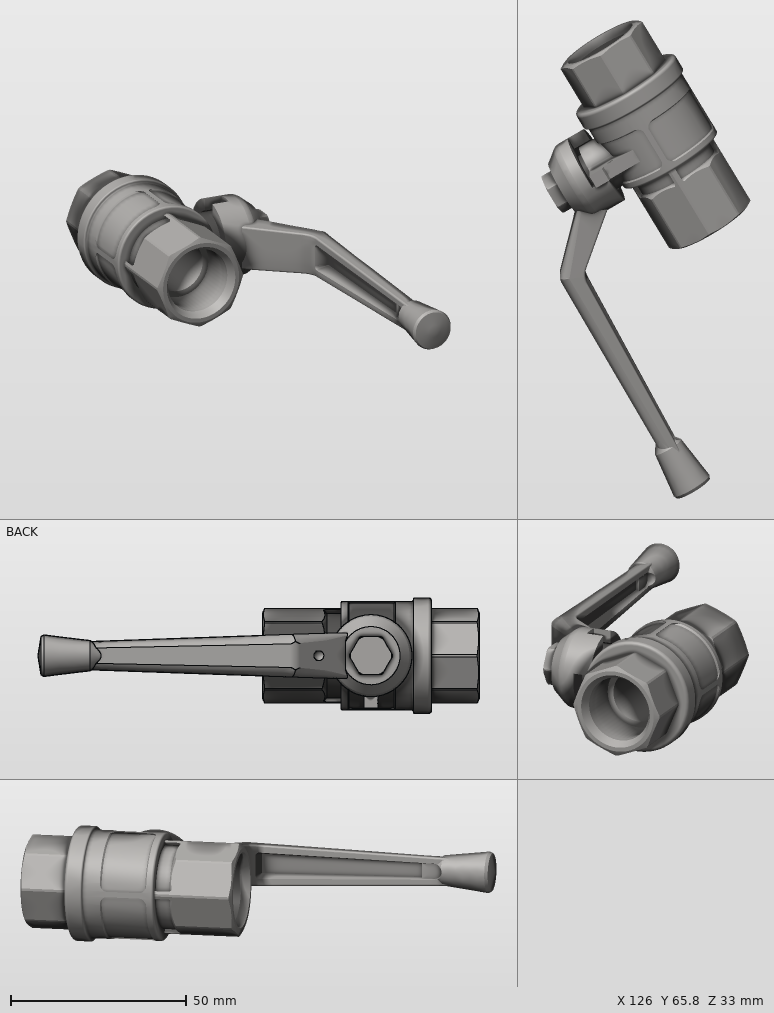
import cadquery as cq
import math


BODY_HALF_LENGTH = 31.0
OCTAGON_APOTHEM = 12.6
OCTAGON_CORNER_RADIUS = 13.5
OCTAGON_END_CHAMFER = 0.7
OCTAGON_FACE_RADIUS = 12.0
FLANGE_START = -17.3
FLANGE_END = -12.1
FLANGE_RADIUS = 16.5
FLANGE_FILLET = 1.0
FLANGE_FOOT_FILLET = 0.45
DRUM_RADIUS = 15.5
DRUM_END = 8.6
DRUM_FILLET = 0.6

QUARTERS = 4
PANEL_START = -7.0
PANEL_END = 6.6
PANEL_DEPTH = 0.5
PANEL_RIB = 1.6
PANEL_CORNER = 2.0
PANEL_WALL_RUN = 0.4
POCKET_END = 13.9
POCKET_FLOOR_RADIUS = 12.0
POCKET_RIB = 2.8
POCKET_CORNER = 1.5
POCKET_WALL_RUN = 1.3

PORT_RADIUS = 7.6
THREAD_RADIUS = 9.4
THREAD_DEPTH = 15.0
MOUTH_RADIUS = 10.8
MOUTH_DEPTH = 2.4

STEM_RADIUS = 7.85
STEM_TOP = 20.8
NECK_RADIUS = 5.8
STOP_THICKNESS = 4.0
STOP_BLEND = 1.2
STOP_HEAD_Z = -14.9
STOP_HEAD_BOTTOM = 16.6
STOP_FOOT_Z = -13.6
STOP_STEP = 0.5
STOP_HOLE_RADIUS = 1.0
STOP_HOLE_Y = 14.0
STOP_HOLE_Z = -11.65

CAP_RADIUS = 11.7
CAP_BOTTOM = 17.1
CAP_CEILING = 22.2
CAP_SHOULDER = 26.4
CAP_TOP = 30.7
CAP_TOP_RADIUS = 8.3
CAP_SHOULDER_FILLET = 3.0
CAP_CAVITY_RADIUS = 8.2
NOTCH_WIDTH = 4.8
SKIRT_GAP_EDGE = 2.2
NUT_HEIGHT = 3.65
NUT_FLATS = 10.85
NUT_CORNER_RADIUS = 6.15
NUT_CHAMFER = 0.3

ARM_ROOT = ((6.2, 29.6), (10.8, 22.4), 6.5, 4.9, 1.2)
ARM_BEND = ((21.4, 44.7), (24.0, 38.2), 6.05, 3.4, 3.0)
ARM_TIP = ((83.0, 45.8), (83.0, 40.7), 3.95, 2.1, 3.0)
ARM_SHOULDER_BULGE = 0.4
ARM_SECTION_MARGIN = 3.0
BEND_OUTER_FILLET = 4.0
BEND_INNER_FILLET = 6.0
ARM_INNER_FILLET = 0.5
ARM_HOLE_RADIUS = 1.4
ARM_HOLE_Y = 38.2
ARM_HOLE_BOTTOM_X = 17.5

GROOVE_START = 27.0
GROOVE_END = 79.5
GROOVE_STEP = 74.1
GROOVE_FLOOR_Y = 42.2
GROOVE_STEP_HEIGHT = 1.0
GROOVE_BELOW_ARM = 36.0
GROOVE_HALF_WIDTH_START = 2.8
GROOVE_HALF_WIDTH_END = 1.9
GROOVE_MOUTH_FLARE = 1.6

KNOB_Y = 43.33
KNOB_START = 77.0
KNOB_START_RADIUS = 2.4
KNOB_WAIST = 80.1
KNOB_WAIST_RADIUS = 4.35
KNOB_RIM = 93.2
KNOB_RADIUS = 5.95
KNOB_EDGE = 94.1
KNOB_EDGE_RADIUS = 5.5
KNOB_TIP = 95.0


def tube_along_x(radius, start, end):
    return cq.Workplane("YZ").workplane(offset=start).circle(radius).extrude(end - start)


def tube_along_y(radius, start, end):
    return cq.Workplane("XZ").workplane(offset=-start).circle(radius).extrude(start - end)


def box_between(x_range, y_range, z_range):
    size = [high - low for low, high in (x_range, y_range, z_range)]
    return cq.Workplane("XY").box(*size, centered=False).translate(
        (x_range[0], y_range[0], z_range[0])
    )


def make_octagon_bar():
    corner = 2 * OCTAGON_APOTHEM / math.cos(math.pi / 8)
    bar = (
        cq.Workplane("YZ")
        .workplane(offset=-BODY_HALF_LENGTH)
        .polygon(8, corner)
        .extrude(2 * BODY_HALF_LENGTH)
    )
    chamfer_start = BODY_HALF_LENGTH - OCTAGON_END_CHAMFER
    turned = (
        cq.Workplane("XY")
        .moveTo(-BODY_HALF_LENGTH, 0)
        .lineTo(-BODY_HALF_LENGTH, OCTAGON_FACE_RADIUS)
        .lineTo(-chamfer_start, OCTAGON_CORNER_RADIUS)
        .lineTo(chamfer_start, OCTAGON_CORNER_RADIUS)
        .lineTo(BODY_HALF_LENGTH, OCTAGON_FACE_RADIUS)
        .lineTo(BODY_HALF_LENGTH, 0)
        .close()
        .revolve(360, (0, 0, 0), (1, 0, 0))
    )
    return bar.intersect(turned)


def make_quarter_recesses(start, end, surface_radius, floor_radius, rib, corner, wall_run):
    """Rounded rectangles pressed into a round surface, one centred in each quarter.

    The two end walls lean outward, covering wall_run along X from floor to surface.
    """
    half_angle = math.pi / QUARTERS - math.asin(rib / 2 / surface_radius)
    width = 2 * surface_radius * math.sin(half_angle)
    length = end - start
    block = (
        cq.Workplane("XY")
        .center((start + end) / 2, 0)
        .rect(length, width)
        .extrude(FLANGE_RADIUS)
        .edges("|Z")
        .fillet(corner)
    )
    spread = wall_run * (FLANGE_RADIUS - surface_radius) / (surface_radius - floor_radius)
    ring = (
        cq.Workplane("XY")
        .moveTo(start + wall_run, floor_radius)
        .lineTo(end - wall_run, floor_radius)
        .lineTo(end + spread, FLANGE_RADIUS)
        .lineTo(start - spread, FLANGE_RADIUS)
        .close()
        .revolve(360, (0, 0, 0), (1, 0, 0))
    )
    block = block.intersect(ring)
    recesses = cq.Workplane("XY")
    for quarter in range(QUARTERS):
        angle = (quarter + 0.5) * 360 / QUARTERS
        recesses = recesses.add(block.rotate((0, 0, 0), (1, 0, 0), angle))
    return recesses


def make_body():
    flange = tube_along_x(FLANGE_RADIUS, FLANGE_START, FLANGE_END)
    flange = flange.faces("<X").edges().fillet(FLANGE_FILLET)
    drum = tube_along_x(DRUM_RADIUS, FLANGE_START + FLANGE_FILLET, DRUM_END)
    drum = drum.faces(">X").edges().fillet(DRUM_FILLET)
    panels = make_quarter_recesses(
        PANEL_START,
        PANEL_END,
        DRUM_RADIUS,
        DRUM_RADIUS - PANEL_DEPTH,
        PANEL_RIB,
        PANEL_CORNER,
        PANEL_WALL_RUN,
    )
    pockets = make_quarter_recesses(
        DRUM_END - 2 * POCKET_CORNER,
        POCKET_END,
        OCTAGON_CORNER_RADIUS,
        POCKET_FLOOR_RADIUS,
        POCKET_RIB,
        POCKET_CORNER,
        POCKET_WALL_RUN,
    )
    body = make_octagon_bar()
    for pocket in pockets.vals():
        body = body.cut(cq.Workplane(pocket))
    for panel in panels.vals():
        drum = drum.cut(cq.Workplane(panel))
    shell = drum.union(flange)
    rim_and_foot = cq.selectors.BoxSelector(
        (FLANGE_END - 0.1, -FLANGE_RADIUS, -FLANGE_RADIUS),
        (FLANGE_END + 0.1, FLANGE_RADIUS, FLANGE_RADIUS),
    )
    return body.union(shell.edges(rim_and_foot).fillet(FLANGE_FOOT_FILLET))


def make_flow_passage():
    """Through port with a chamfered thread bore at both ends."""
    thread_end = BODY_HALF_LENGTH - THREAD_DEPTH
    half = (
        cq.Workplane("XY")
        .moveTo(0, 0)
        .lineTo(0, PORT_RADIUS)
        .lineTo(thread_end, PORT_RADIUS)
        .lineTo(thread_end, THREAD_RADIUS)
        .lineTo(BODY_HALF_LENGTH - MOUTH_DEPTH, THREAD_RADIUS)
        .lineTo(BODY_HALF_LENGTH, MOUTH_RADIUS)
        .lineTo(BODY_HALF_LENGTH, 0)
        .close()
        .revolve(360, (0, 0, 0), (1, 0, 0))
    )
    return half.union(half.mirror("YZ"))


def make_stop():
    """Plate beside the stem that limits the lever's swing, with a sealing-wire hole."""
    plate = (
        cq.Workplane("YZ")
        .workplane(offset=-STOP_THICKNESS / 2)
        .moveTo(0, 0)
        .lineTo(STEM_TOP, 0)
        .lineTo(STEM_TOP, STOP_HEAD_Z)
        .lineTo(STOP_HEAD_BOTTOM, STOP_HEAD_Z)
        .lineTo(STOP_HEAD_BOTTOM - STOP_STEP, STOP_FOOT_Z)
        .lineTo(0, STOP_FOOT_Z)
        .close()
        .extrude(STOP_THICKNESS)
    )
    hole = tube_along_x(STOP_HOLE_RADIUS, -STOP_THICKNESS, STOP_THICKNESS)
    return plate.cut(hole.translate((0, STOP_HOLE_Y, STOP_HOLE_Z)))


def make_stem():
    """Stem barrel with its stop plate blended in, and the thinner neck above."""
    barrel = tube_along_y(STEM_RADIUS, 0, STEM_TOP).union(make_stop())
    half_stop = STOP_THICKNESS / 2
    joint_z = -math.sqrt(STEM_RADIUS**2 - half_stop**2)
    joints = cq.selectors.BoxSelector(
        (-half_stop - 0.1, 0, joint_z - 0.1), (half_stop + 0.1, STEM_TOP, joint_z + 0.1)
    )
    barrel = barrel.edges("|Y").edges(joints).fillet(STOP_BLEND)
    return barrel.union(tube_along_y(NECK_RADIUS, 0, CAP_TOP))


def make_cap():
    cap = (
        cq.Workplane("XY")
        .moveTo(0, CAP_BOTTOM)
        .lineTo(CAP_RADIUS, CAP_BOTTOM)
        .lineTo(CAP_RADIUS, CAP_SHOULDER)
        .lineTo(CAP_TOP_RADIUS, CAP_TOP)
        .lineTo(0, CAP_TOP)
        .close()
        .revolve(360, (0, 0, 0), (0, 1, 0))
    )
    at_shoulder = cq.selectors.BoxSelector(
        (-CAP_RADIUS - 1, CAP_SHOULDER - 0.1, -CAP_RADIUS - 1),
        (CAP_RADIUS + 1, CAP_SHOULDER + 0.1, CAP_RADIUS + 1),
        boundingbox=True,
    )
    cap = cap.edges(at_shoulder).fillet(CAP_SHOULDER_FILLET)
    cavity = tube_along_y(CAP_CAVITY_RADIUS, CAP_BOTTOM, CAP_CEILING)
    skirt_height = (CAP_BOTTOM, CAP_CEILING)
    notch = box_between((-NOTCH_WIDTH / 2, NOTCH_WIDTH / 2), skirt_height, (0, CAP_RADIUS))
    swing_gap = box_between(
        (-CAP_RADIUS, SKIRT_GAP_EDGE), skirt_height, (-CAP_RADIUS, SKIRT_GAP_EDGE)
    )
    return cap.cut(cavity).cut(notch).cut(swing_gap)


def make_nut():
    hexagon = (
        cq.Workplane("XZ")
        .workplane(offset=-CAP_TOP)
        .polygon(6, NUT_FLATS / math.cos(math.pi / 6))
        .extrude(-NUT_HEIGHT)
    )
    turned = tube_along_y(NUT_CORNER_RADIUS, CAP_TOP, CAP_TOP + NUT_HEIGHT)
    return hexagon.intersect(turned.faces(">Y").edges().chamfer(NUT_CHAMFER))


def arm_section(outer, inner, half_width, face_half_width, shoulder_drop):
    """Arm cross-section: flat outer face, rounded shoulders, straight sides, flat inner face."""
    rise = (outer[0] - inner[0], outer[1] - inner[1])
    height = math.hypot(*rise)
    shoulder = height - shoulder_drop
    bulge_z = (half_width + face_half_width) / 2 + ARM_SHOULDER_BULGE
    bulge_h = (height + shoulder) / 2 + ARM_SHOULDER_BULGE
    plane = cq.Plane(
        origin=(inner[0], inner[1], 0),
        xDir=(0, 0, 1),
        normal=(-rise[1], rise[0], 0),
    )
    section = (
        cq.Workplane(plane)
        .moveTo(-half_width, -ARM_SECTION_MARGIN)
        .lineTo(half_width, -ARM_SECTION_MARGIN)
        .lineTo(half_width, shoulder)
        .threePointArc((bulge_z, bulge_h), (face_half_width, height))
        .lineTo(-face_half_width, height)
        .threePointArc((-bulge_z, bulge_h), (-half_width, shoulder))
        .close()
    )
    return section.val()


def make_arm():
    """Side profile with rounded bends, trimmed to the tapering cross-section."""
    stations = (ARM_ROOT, ARM_BEND, ARM_TIP)
    outer_points = [station[0] for station in stations]
    inner_points = [station[1] for station in stations]
    thickness = 4 * max(station[2] for station in stations)
    profile = (
        cq.Workplane("XY")
        .polyline(outer_points + inner_points[::-1])
        .close()
        .extrude(thickness / 2, both=True)
    )
    for corner, radius in ((ARM_BEND[0], BEND_OUTER_FILLET), (ARM_BEND[1], BEND_INNER_FILLET)):
        profile = profile.edges(cq.selectors.NearestToPointSelector((*corner, 0))).fillet(radius)
    sections = [arm_section(*station) for station in stations]
    arm = profile.intersect(cq.Workplane(cq.Solid.makeLoft(sections, True)))
    inner_face_middle = [(a + b) / 2 for a, b in zip(ARM_BEND[1], ARM_TIP[1])]
    inner_face = arm.faces(cq.selectors.NearestToPointSelector((*inner_face_middle, 0)))
    return inner_face.edges("not |Z").fillet(ARM_INNER_FILLET)


def make_groove():
    """Tapered trough in the inner side of the arm; its floor rises near the knob."""

    def trough(start, end, floor_y):
        depth = floor_y - GROOVE_BELOW_ARM
        flare_angle = math.degrees(math.atan(GROOVE_MOUTH_FLARE / depth))
        return (
            cq.Workplane("XZ")
            .workplane(offset=-floor_y)
            .moveTo(start, -GROOVE_HALF_WIDTH_START)
            .lineTo(end - GROOVE_HALF_WIDTH_END, -GROOVE_HALF_WIDTH_END)
            .threePointArc((end, 0), (end - GROOVE_HALF_WIDTH_END, GROOVE_HALF_WIDTH_END))
            .lineTo(start, GROOVE_HALF_WIDTH_START)
            .close()
            .extrude(depth, taper=-flare_angle)
        )

    deep = trough(GROOVE_START, GROOVE_END, GROOVE_FLOOR_Y)
    step = box_between(
        (GROOVE_STEP, KNOB_WAIST + KNOB_RADIUS),
        (GROOVE_FLOOR_Y - GROOVE_STEP_HEIGHT, GROOVE_FLOOR_Y + 1),
        (-KNOB_RADIUS, KNOB_RADIUS),
    )
    return deep.cut(step)


def make_knob():
    return (
        cq.Workplane("XY")
        .moveTo(KNOB_START, 0)
        .lineTo(KNOB_START, KNOB_START_RADIUS)
        .lineTo(KNOB_WAIST, KNOB_WAIST_RADIUS)
        .lineTo(KNOB_RIM, KNOB_RADIUS)
        .lineTo(KNOB_EDGE, KNOB_EDGE_RADIUS)
        .lineTo(KNOB_TIP, 0)
        .close()
        .revolve(360, (0, 0, 0), (1, 0, 0))
        .translate((0, KNOB_Y, 0))
    )


def make_lever():
    hole = tube_along_x(ARM_HOLE_RADIUS, 0, ARM_HOLE_BOTTOM_X).translate((0, ARM_HOLE_Y, 0))
    return make_arm().union(make_knob()).cut(make_groove()).cut(hole)


body = make_body().union(make_stem()).cut(make_flow_passage())
result = body.union(make_cap()).union(make_nut()).union(make_lever())